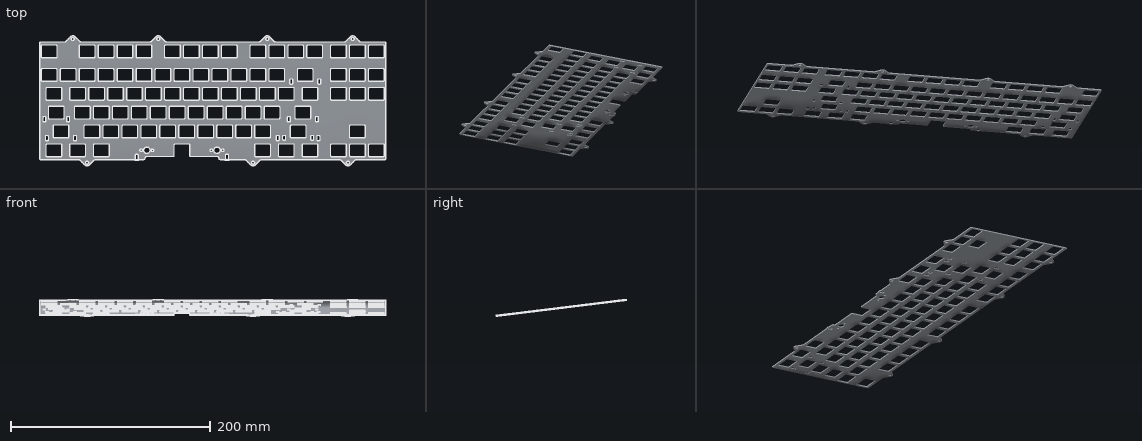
import cadquery as cq
import math

UNIT = 19.05
WIDTH = 18.25 * UNIT
DEPTH = 6.25 * UNIT
THICKNESS = 1.2
TILT = 7.0
CORNER_RADIUS = 1.0
TOLERANCE = 0.01

SWITCH_WIDTH = 15.5
SWITCH_DEPTH = 12.8
SWITCH_CORNER = 0.75

FUNCTION_ROW = 0.5
NUMBER_ROW = 1.75
TAB_ROW = 2.75
CAPS_ROW = 3.75
SHIFT_ROW = 4.75
BOTTOM_ROW = 5.75

NAVIGATION_KEYS = [15.75, 16.75, 17.75]
UP_ARROW = 16.75
BACKSPACE = 14.0
CAPS_LOCK = 0.875
ENTER = 13.875
LEFT_SHIFT = 1.125
RIGHT_SHIFT = 13.625
SPACE_BAR = 7.5


def key_run(first, count):
    """Centres of adjacent one-unit keys."""
    return [first + i for i in range(count)]


KEY_ROWS = {
    FUNCTION_ROW: [0.5] + key_run(2.5, 4) + key_run(7.0, 4) + key_run(11.5, 4) + NAVIGATION_KEYS,
    NUMBER_ROW: key_run(0.5, 13) + [BACKSPACE] + NAVIGATION_KEYS,
    TAB_ROW: [0.75] + key_run(2.0, 12) + [14.25] + NAVIGATION_KEYS,
    CAPS_ROW: [CAPS_LOCK] + key_run(2.25, 11) + [ENTER],
    SHIFT_ROW: [LEFT_SHIFT] + key_run(2.75, 10) + [RIGHT_SHIFT, UP_ARROW],
    BOTTOM_ROW: [0.75, 2.0, 3.25, 11.75, 13.0, 14.25] + NAVIGATION_KEYS,
}

SLOT_WIDTH = 2.67
SLOT_DEPTH = 5.2
SHORT_SLOT_DEPTH = 4.7
SLOT_CORNER = 0.5
SLOT_REAR_DROP = 4.1

CAPS_SPREAD = 11.94
WIDE_KEY_SPREAD = 14.1
RIGHT_SHIFT_OUTER_SPREAD = 20.4
SPACE_BAR_SPREAD = 45.3

SLOT_PAIRS = [
    (BACKSPACE, NUMBER_ROW, WIDE_KEY_SPREAD, SLOT_DEPTH),
    (CAPS_LOCK, CAPS_ROW, CAPS_SPREAD, SLOT_DEPTH),
    (ENTER, CAPS_ROW, WIDE_KEY_SPREAD, SLOT_DEPTH),
    (LEFT_SHIFT, SHIFT_ROW, WIDE_KEY_SPREAD, SLOT_DEPTH),
    (RIGHT_SHIFT, SHIFT_ROW, WIDE_KEY_SPREAD, SHORT_SLOT_DEPTH),
    (RIGHT_SHIFT, SHIFT_ROW, RIGHT_SHIFT_OUTER_SPREAD, SLOT_DEPTH),
    (SPACE_BAR, BOTTOM_ROW, SPACE_BAR_SPREAD, SLOT_DEPTH),
]

LUG_WIDTH = 3.8
LUG_REACH = 0.7

RELIEF_WIDTH = 74.0
RELIEF_CORNER = 1.5
ROUND_HOLE_OFFSET = 35.25
ROUND_HOLE_DIAMETER = 6.3
PIN_HOLE_OFFSET = 5.7
PIN_HOLE_DIAMETER = 2.5

TAB_DIAMETER = 6.5
TAB_OFFSET = 3.05
TAB_FLANK_ANGLE = 45.0
TAB_ROOT_RADIUS = 2.0
TAB_HOLE_DIAMETER = 3.0

TABS = [(column, 1) for column in (1.75, 6.25, 12.0, 16.5)]
TABS += [(column, -1) for column in (2.5, 11.25, 16.25)]


def key_place(column, row):
    """Plate coordinates of a key centre, with the plate centred on the origin."""
    return (column * UNIT - WIDTH / 2, DEPTH / 2 - row * UNIT)


def tab_place(column, side):
    return (column * UNIT - WIDTH / 2, side * (DEPTH / 2 + TAB_OFFSET))


def make_box(center, width, depth):
    return cq.Workplane("XY").center(*center).rect(width, depth).extrude(THICKNESS)


def rounded_rectangle(center, width, depth, corner):
    wire = cq.Workplane("XY").center(*center).rect(width, depth).val()
    return wire.fillet2D(corner, wire.Vertices())


def circle(center, diameter):
    return cq.Workplane("XY").center(*center).circle(diameter / 2).val()


def round_upright_edges(body, is_chosen, radius):
    """Round the upright edges whose x and y pass the test."""
    edges = body.edges("|Z").filter(lambda edge: is_chosen(edge.Center().x, edge.Center().y))
    return edges.fillet(radius)


def same(first, second):
    return math.isclose(first, second, abs_tol=TOLERANCE)


def make_tab(column, side):
    """Rounded tab whose straight flanks widen towards the plate edge."""
    radius = TAB_DIAMETER / 2
    angle = math.radians(TAB_FLANK_ANGLE)
    tangent_x = radius * math.sin(angle)
    tangent_y = radius * math.cos(angle)
    base_x = tangent_x + (TAB_OFFSET + tangent_y) / math.tan(angle)
    tab = (
        cq.Workplane("XY")
        .moveTo(-base_x, -TAB_OFFSET)
        .lineTo(-tangent_x, tangent_y)
        .threePointArc((0, radius), (tangent_x, tangent_y))
        .lineTo(base_x, -TAB_OFFSET)
        .close()
        .extrude(THICKNESS)
    )
    if side < 0:
        tab = tab.rotate((0, 0, 0), (0, 0, 1), 180)
    return tab.translate((*tab_place(column, side), 0))


def add_tabs(plate):
    """Join the tabs, then round their roots and the plate's own corners."""
    for column, side in TABS:
        plate = plate.union(make_tab(column, side))
    plate = round_upright_edges(
        plate, lambda x, y: same(abs(y), DEPTH / 2) and not same(abs(x), WIDTH / 2), TAB_ROOT_RADIUS
    )
    return round_upright_edges(plate, lambda x, y: same(abs(x), WIDTH / 2), CORNER_RADIUS)


def cut_space_bar_relief(plate):
    """Set the front edge back to the front of the space bar cutout, which opens into it."""
    space_x, space_y = key_place(SPACE_BAR, BOTTOM_ROW)
    front_y = -DEPTH / 2
    relief_y = space_y - SWITCH_DEPTH / 2

    relief = make_box((space_x, (relief_y + front_y) / 2), RELIEF_WIDTH, relief_y - front_y)
    plate = plate.cut(relief)
    plate = round_upright_edges(plate, lambda x, y: same(abs(x - space_x), RELIEF_WIDTH / 2), RELIEF_CORNER)

    plate = plate.cut(make_box((space_x, space_y), SWITCH_WIDTH, SWITCH_DEPTH))

    def is_on_notch(x, y):
        return same(abs(x - space_x), SWITCH_WIDTH / 2)

    plate = round_upright_edges(plate, lambda x, y: is_on_notch(x, y) and y > space_y, SWITCH_CORNER)
    return round_upright_edges(plate, lambda x, y: is_on_notch(x, y) and same(y, relief_y), CORNER_RADIUS)


def add_slot_lugs(plate):
    space_x = key_place(SPACE_BAR, BOTTOM_ROW)[0]
    for side in (-1, 1):
        lug_center = (space_x + side * SPACE_BAR_SPREAD, -DEPTH / 2)
        plate = plate.union(make_box(lug_center, LUG_WIDTH, 2 * LUG_REACH))
    return plate


def switch_cutouts():
    return [
        rounded_rectangle(key_place(column, row), SWITCH_WIDTH, SWITCH_DEPTH, SWITCH_CORNER)
        for row, columns in KEY_ROWS.items()
        for column in columns
    ]


def stabiliser_slots():
    slots = []
    for column, row, spread, depth in SLOT_PAIRS:
        key_x, key_y = key_place(column, row)
        slot_y = key_y - SLOT_REAR_DROP - depth / 2
        for side in (-1, 1):
            slots.append(rounded_rectangle((key_x + side * spread, slot_y), SLOT_WIDTH, depth, SLOT_CORNER))
    return slots


def space_bar_holes():
    """A round hole on each side of the space bar cutout, each between two pin holes."""
    space_x, space_y = key_place(SPACE_BAR, BOTTOM_ROW)
    holes = []
    for side in (-1, 1):
        hole_x = space_x + side * ROUND_HOLE_OFFSET
        holes.append(circle((hole_x, space_y), ROUND_HOLE_DIAMETER))
        for pin_side in (-1, 1):
            holes.append(circle((hole_x + pin_side * PIN_HOLE_OFFSET, space_y), PIN_HOLE_DIAMETER))
    return holes


def tab_holes():
    return [circle(tab_place(column, side), TAB_HOLE_DIAMETER) for column, side in TABS]


outline = make_box((0, 0), WIDTH, DEPTH)
outline = add_tabs(outline)
outline = cut_space_bar_relief(outline)
outline = add_slot_lugs(outline)
outer_wire = outline.faces("<Z").val().outerWire()

openings = switch_cutouts() + stabiliser_slots() + space_bar_holes() + tab_holes()
plate = cq.Solid.extrudeLinear(outer_wire, openings, cq.Vector(0, 0, THICKNESS))
result = cq.Workplane("XY").add(plate).rotate((0, 0, 0), (1, 0, 0), TILT)